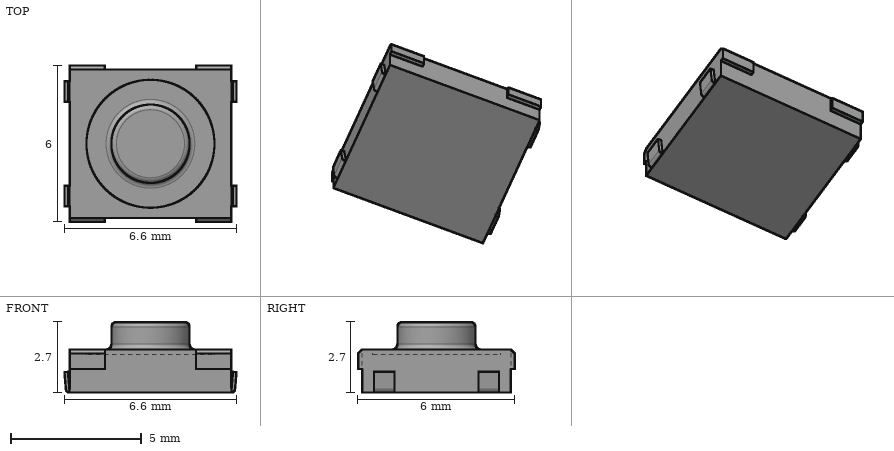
import cadquery as cq
import math

overall_length = 6.6
overall_depth = 6.0
overall_height = 2.7

terminal_thickness = 0.145
terminal_width = 0.8
terminal_leg_length = 0.655
terminal_spacing = 4.0
terminal_lean = math.radians(5)

terminal_reach = (terminal_thickness * math.cos(terminal_lean)
                  + terminal_leg_length * math.sin(terminal_lean))
housing_length = overall_length - 2 * terminal_reach
housing_height = 1.65
tab_projection = 0.15
tab_length = 1.35
tab_bottom = 0.89
housing_depth = overall_depth - 2 * tab_projection

flange_diameter = 4.905
flange_thickness = 0.2
plunger_diameter = 3.0
plunger_edge_radius = 0.2


def make_tab(side_x, side_y):
    """One chamfered corner tab, on the side of the housing given by the signs."""
    wall_y = housing_depth / 2
    tip_y = overall_depth / 2
    profile = (
        cq.Workplane("YZ")
        .moveTo(side_y * wall_y, tab_bottom)
        .lineTo(side_y * tip_y, tab_bottom)
        .lineTo(side_y * tip_y, housing_height - tab_projection)
        .lineTo(side_y * wall_y, housing_height)
        .close()
    )
    tab_middle_x = side_x * (housing_length - tab_length) / 2
    return profile.extrude(tab_length / 2, both=True).translate((tab_middle_x, 0, 0))


def make_housing():
    """Rectangular block with four corner tabs and a round recess for the button flange."""
    housing = cq.Workplane("XY").box(
        housing_length, housing_depth, housing_height, centered=(True, True, False)
    )
    for side_x in (-1, 1):
        for side_y in (-1, 1):
            housing = housing.union(make_tab(side_x, side_y))
    return housing.faces(">Z").workplane(origin=(0, 0, 0)).hole(flange_diameter, flange_thickness)


def make_button():
    """Flange and plunger as one revolved body about the Z axis."""
    flange_radius = flange_diameter / 2
    plunger_radius = plunger_diameter / 2
    fillet_centre_r = plunger_radius + plunger_edge_radius
    fillet_centre_z = housing_height + plunger_edge_radius
    round_centre_r = plunger_radius - plunger_edge_radius
    round_centre_z = overall_height - plunger_edge_radius
    diagonal = plunger_edge_radius * math.sqrt(0.5)
    return (
        cq.Workplane("XZ")
        .moveTo(0, housing_height - flange_thickness)
        .lineTo(flange_radius, housing_height - flange_thickness)
        .lineTo(flange_radius, housing_height)
        .lineTo(fillet_centre_r, housing_height)
        .threePointArc(
            (fillet_centre_r - diagonal, fillet_centre_z - diagonal),
            (plunger_radius, fillet_centre_z),
        )
        .lineTo(plunger_radius, round_centre_z)
        .threePointArc(
            (round_centre_r + diagonal, round_centre_z + diagonal),
            (round_centre_r, overall_height),
        )
        .lineTo(0, overall_height)
        .close()
        .revolve(360, (0, 0, 0), (0, 1, 0))
    )


def make_terminal(side_x, side_y):
    """One terminal: a bend around its inner corner on the housing wall, then a leaning leg."""
    wall_x = housing_length / 2
    corner_z = terminal_thickness

    def around_corner(angle, along_leg=0.0):
        """Point on the outer face at an angle below horizontal, shifted up the leg."""
        x = wall_x + terminal_thickness * math.cos(angle) + along_leg * math.sin(terminal_lean)
        z = corner_z - terminal_thickness * math.sin(angle) + along_leg * math.cos(terminal_lean)
        return side_x * x, z

    bend_middle = (terminal_lean + math.pi / 2) / 2
    inner_tip = (
        side_x * (wall_x + terminal_leg_length * math.sin(terminal_lean)),
        corner_z + terminal_leg_length * math.cos(terminal_lean),
    )
    profile = (
        cq.Workplane("XZ")
        .moveTo(side_x * wall_x, 0)
        .threePointArc(around_corner(bend_middle), around_corner(terminal_lean))
        .lineTo(*around_corner(terminal_lean, terminal_leg_length))
        .lineTo(*inner_tip)
        .lineTo(side_x * wall_x, corner_z)
        .close()
    )
    terminal = profile.extrude(terminal_width / 2, both=True)
    return terminal.translate((0, side_y * terminal_spacing / 2, 0))


housing = make_housing()
button = make_button()
terminals = [make_terminal(side_x, side_y) for side_x in (-1, 1) for side_y in (-1, 1)]

result = cq.Compound.makeCompound(
    [housing.val(), button.val(), *[terminal.val() for terminal in terminals]]
)